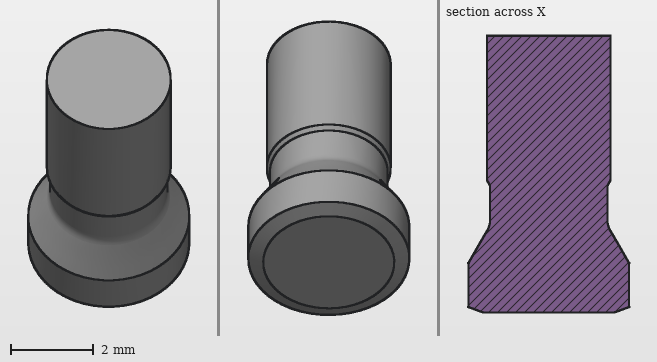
import cadquery as cq
import math

total_height = 6.7
shoulder_base_z = 1.2
shank_base_z = 3.2

head_radius = 3.9 / 2
shank_radius = 3.0 / 2
neck_radius = 2.85 / 2
head_bottom_radius = 1.585
neck_fillet_radius = 0.5

bottom_bevel_angle = math.radians(20)
shoulder_angle = math.radians(30)
shank_bevel_angle = math.radians(30)

head_base_z = (head_radius - head_bottom_radius) * math.tan(bottom_bevel_angle)
neck_top_z = shank_base_z - (shank_radius - neck_radius) / math.tan(shank_bevel_angle)

fillet_center_radius = neck_radius + neck_fillet_radius
shoulder_top_radius = fillet_center_radius - neck_fillet_radius * math.cos(shoulder_angle)
shoulder_top_z = shoulder_base_z + (head_radius - shoulder_top_radius) / math.tan(shoulder_angle)
neck_base_z = shoulder_top_z + neck_fillet_radius * math.sin(shoulder_angle)
fillet_mid_radius = fillet_center_radius - neck_fillet_radius * math.cos(shoulder_angle / 2)
fillet_mid_z = neck_base_z - neck_fillet_radius * math.sin(shoulder_angle / 2)


def half_profile():
    """Half section in the XZ plane, from the underside up to the shank end."""
    return (
        cq.Workplane("XZ")
        .moveTo(0, 0)
        .lineTo(head_bottom_radius, 0)
        .lineTo(head_radius, head_base_z)
        .lineTo(head_radius, shoulder_base_z)
        .lineTo(shoulder_top_radius, shoulder_top_z)
        .threePointArc((fillet_mid_radius, fillet_mid_z), (neck_radius, neck_base_z))
        .lineTo(neck_radius, neck_top_z)
        .lineTo(shank_radius, shank_base_z)
        .lineTo(shank_radius, total_height)
        .lineTo(0, total_height)
        .close()
    )


result = half_profile().revolve(360, (0, 0, 0), (0, 1, 0))